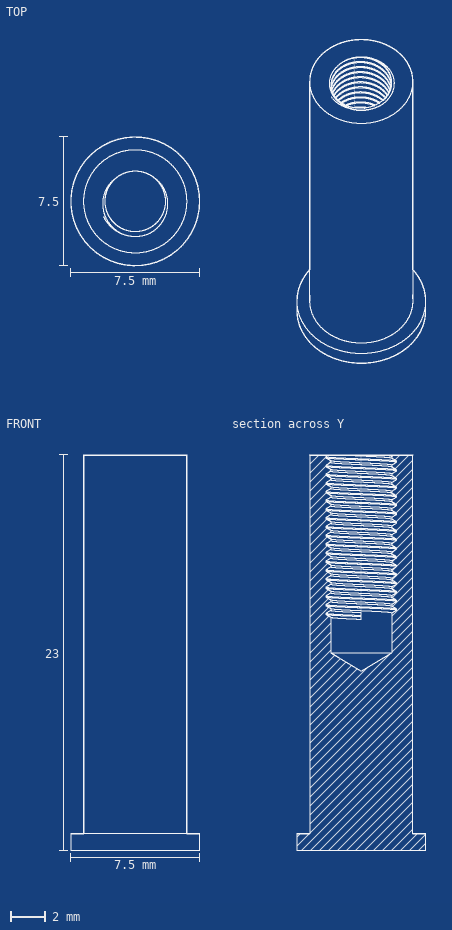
import cadquery as cq
import math

total_height = 23.0
flange_diameter = 7.5
flange_height = 1.0
shank_diameter = 6.0

bore_diameter = 3.52
thread_diameter = 4.1
thread_pitch = 0.5
thread_turns = 20
bore_depth = 11.5
drill_tip_angle = 118.0

thread_groove_angle = 60.0
thread_root_width = thread_pitch / 8
thread_exit_angle = -90.0
runout_turns = 1.5
bore_overlap = 0.05


def make_body():
    flange = cq.Workplane("XY").circle(flange_diameter / 2).extrude(flange_height)
    shank = cq.Workplane("XY").circle(shank_diameter / 2).extrude(total_height)
    return flange.union(shank)


def make_bore():
    radius = bore_diameter / 2
    bottom = total_height - bore_depth
    tip = bottom - radius / math.tan(math.radians(drill_tip_angle / 2))
    half_section = [(0, total_height), (radius, total_height), (radius, bottom), (0, tip)]
    return cq.Workplane("XZ").polyline(half_section).close().revolve(360, (0, 0), (0, 1))


def make_groove_turn():
    """One right-handed turn of the groove, from angle 0 at height 0."""
    inner = bore_diameter / 2 - bore_overlap
    outer = thread_diameter / 2
    half_root = thread_root_width / 2
    half_mouth = half_root + (outer - inner) * math.tan(math.radians(thread_groove_angle / 2))
    profile = [(inner, -half_mouth), (outer, -half_root), (outer, half_root), (inner, half_mouth)]

    helices = [
        cq.Wire.makeHelix(thread_pitch, thread_pitch, radius).translate(cq.Vector(0, 0, height))
        for radius, height in profile
    ]
    sides = [cq.Face.makeRuledSurface(helices[i - 1], helices[i]) for i in range(len(helices))]
    outline = cq.Wire.makePolygon([cq.Vector(radius, 0, height) for radius, height in profile], close=True)
    start_cap = cq.Face.makeFromWires(outline)
    end_cap = start_cap.translate(cq.Vector(0, 0, thread_pitch))
    turn = cq.Solid.makeSolid(cq.Shell.makeShell(sides + [start_cap, end_cap]))
    return cq.Workplane(turn)


def cut_thread(body):
    """Cut the groove turn by turn downwards; its middle crosses the top face at the exit angle."""
    seam_angle = thread_exit_angle + 360 * (runout_turns % 1)
    turn = make_groove_turn().rotate((0, 0, 0), (0, 0, 1), seam_angle)
    groove_end = total_height + runout_turns * thread_pitch
    for index in range(thread_turns):
        body = body.cut(turn.translate((0, 0, groove_end - (index + 1) * thread_pitch)))
    return body


result = cut_thread(make_body()).cut(make_bore())